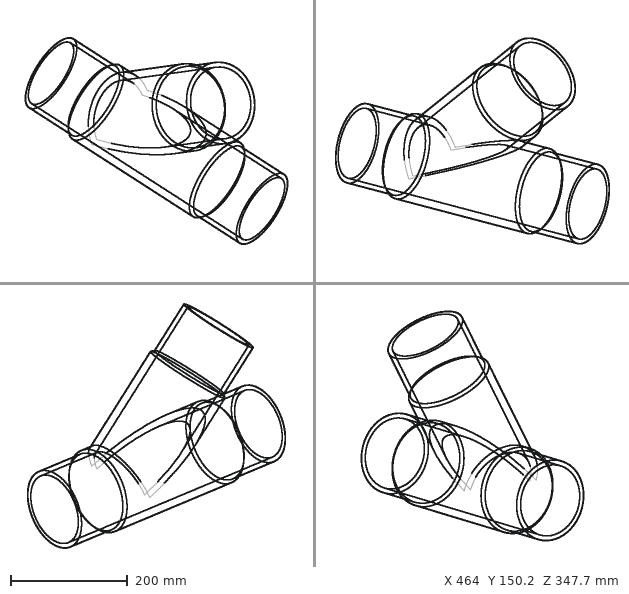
import cadquery as cq
import math

bore_diameter = 123.4
spigot_diameter = 140.0
body_diameter = 150.22
spigot_length = 94.0
bore_radius = bore_diameter / 2
body_radius = body_diameter / 2
spigot_radius = spigot_diameter / 2
chamfer_size = body_radius - spigot_radius

run_length = 464.0
run_inlet_length = 150.0
run_outlet_length = run_length - run_inlet_length

overall_height = 347.7
branch_angle = 45.0
branch_sine = math.sin(math.radians(branch_angle))
branch_cosine = math.cos(math.radians(branch_angle))
branch_top = overall_height - body_radius
branch_length = (branch_top - spigot_radius * branch_cosine) / branch_sine


def leg(length):
    """Solid leg along +X: thick body with a chamfered end, then a thinner spigot."""
    spigot_start = length - spigot_length
    body_end = spigot_start - chamfer_size
    return (
        cq.Workplane("XY")
        .moveTo(0, 0)
        .lineTo(0, body_radius)
        .lineTo(body_end, body_radius)
        .lineTo(spigot_start, spigot_radius)
        .lineTo(length, spigot_radius)
        .lineTo(length, 0)
        .close()
        .revolve(360, (0, 0, 0), (1, 0, 0))
    )


def bore(length):
    """Cylinder that clears the inside of a leg along +X."""
    return cq.Workplane("YZ").circle(bore_radius).extrude(length)


def tilt_to_branch(shape):
    """Turn a shape lying along +X up onto the branch axis."""
    return shape.rotate((0, 0, 0), (0, 1, 0), -branch_angle)


def turn_to_inlet(shape):
    """Turn a shape lying along +X round to the -X side."""
    return shape.rotate((0, 0, 0), (0, 0, 1), 180)


run_inlet = turn_to_inlet(leg(run_inlet_length))
run_outlet = leg(run_outlet_length)
branch = tilt_to_branch(leg(branch_length))
outer = run_inlet.union(run_outlet).union(branch)

run_bore = bore(run_outlet_length).union(turn_to_inlet(bore(run_inlet_length)))
branch_bore = tilt_to_branch(bore(branch_length))

result = outer.cut(run_bore).cut(branch_bore)